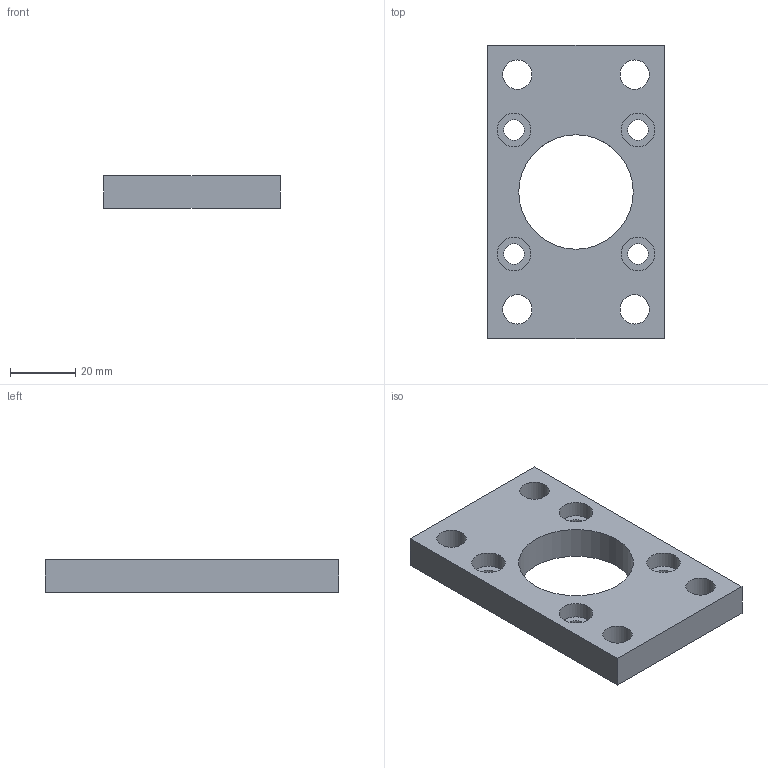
import cadquery as cq

plate_width = 54.0
plate_length = 90.0
plate_thickness = 10.0

bore_diameter = 35.1

mounting_hole_diameter = 9.0
mounting_spacing_x = 36.0
mounting_spacing_y = 72.0

screw_hole_diameter = 6.3
screw_spacing = 38.0
counterbore_diameter = 10.3
counterbore_depth = 5.0


def make_plate():
    return cq.Workplane("XY").box(
        plate_width, plate_length, plate_thickness, centered=(True, True, False)
    )


def cut_central_bore(body):
    return body.faces(">Z").workplane(origin=(0, 0)).hole(bore_diameter)


def cut_mounting_holes(body):
    return (
        body.faces(">Z")
        .workplane(origin=(0, 0))
        .rect(mounting_spacing_x, mounting_spacing_y, forConstruction=True)
        .vertices()
        .hole(mounting_hole_diameter)
    )


def cut_screw_holes(body):
    return (
        body.faces(">Z")
        .workplane(origin=(0, 0))
        .rect(screw_spacing, screw_spacing, forConstruction=True)
        .vertices()
        .cboreHole(screw_hole_diameter, counterbore_diameter, counterbore_depth)
    )


result = make_plate()
result = cut_central_bore(result)
result = cut_mounting_holes(result)
result = cut_screw_holes(result)